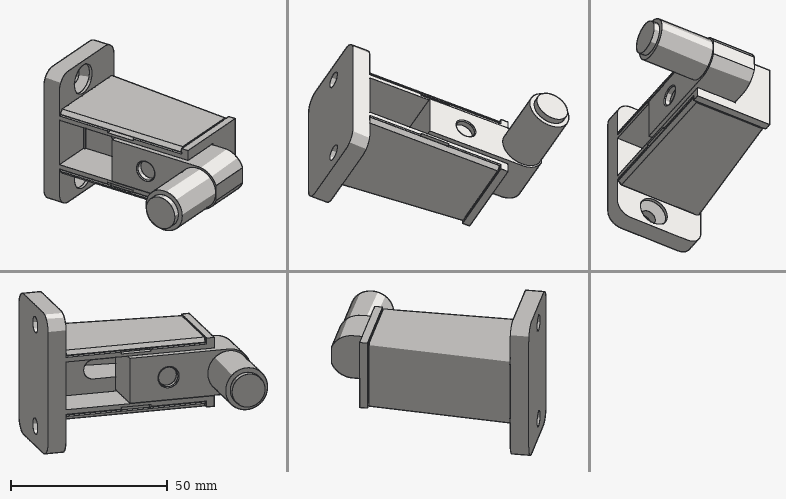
import cadquery as cq
import math


overall_length = 67.0

base_length = 6.0
base_depth = 31.0
base_height = 47.0
base_corner_radius = 5.0
screw_hole_diameter = 5.2
screw_head_diameter = 10.0
seat_start = 2.6
screw_hole_pitch = 33.9
screw_hole_y = 13.55

taper_angle = math.radians(5)
flange_end = 55.55
flange_thickness = 2.55
flange_depth = 26.8
flange_half_height = 11.5
cover_thickness = 0.5
core_half_height = flange_half_height - cover_thickness
core_depth_at_base = 30.0
core_chamfer = 1.51
flange_start = flange_end - flange_thickness

cover_start_gap = 0.2
cover_end_gap = 0.4
cover_start = base_length + cover_start_gap
cover_back_radius = 1.51
cover_end = flange_start - cover_end_gap

notch_start = 24.45
notch_end = 34.45
notch_floor_height = 8.9
notch_depth = 2.0

pocket_half_height = 8.0
ledge_size = 0.6
slot_radius = 3.2
slot_left_center = 19.55

arm_start = 27.0
arm_front = -1.0
arm_back = 14.15
arm_half_height = 7.5
plug_x = 39.9
plug_radius = slot_radius
plug_hole_chamfer = 0.35
plug_recess = 2.0

roller_diameter = 14.0
roller_radius = roller_diameter / 2
roller_end = -20.2
roller_gap = 0.2
axle_radius = 5.5
axle_end = -22.2
roller_x = overall_length - roller_radius

SLOPING_EDGES = "not (|X or |Y or |Z)"


def block(x_range, y_range, half_height):
    """Box centred on Z = 0."""
    return (
        cq.Workplane("XY")
        .box(x_range[1] - x_range[0], y_range[1] - y_range[0], 2 * half_height, centered=(False, False, True))
        .translate((x_range[0], y_range[0], 0))
    )


def cylinder_along_y(x, radius, y_start, y_end):
    """Cylinder at mid-height whose axis is parallel to Y."""
    return (
        cq.Workplane("XZ", origin=(x, y_start, 0))
        .circle(radius)
        .extrude(y_start - y_end)
    )


def tapered_block(x_start, x_end, growth):
    """Block with a sloping back, grown outward on all long faces from the size of the core."""

    def back_y(x):
        return core_depth_at_base + growth / math.cos(taper_angle) - (x - base_length) * math.tan(taper_angle)

    half_height = core_half_height + growth
    return (
        cq.Workplane("XY", origin=(0, 0, -half_height))
        .moveTo(x_start, -growth)
        .lineTo(x_end, -growth)
        .lineTo(x_end, back_y(x_end))
        .lineTo(x_start, back_y(x_start))
        .close()
        .extrude(2 * half_height)
    )


def make_core():
    core = tapered_block(base_length, flange_start, 0)
    return core.edges(SLOPING_EDGES).chamfer(core_chamfer).faces("<Y").edges("|X").chamfer(core_chamfer)


def make_cover_envelope():
    front_chamfer = core_chamfer + cover_thickness * (2 - math.sqrt(2))
    envelope = tapered_block(cover_start, cover_end, cover_thickness)
    return envelope.edges(SLOPING_EDGES).fillet(cover_back_radius).faces("<Y").edges("|X").chamfer(front_chamfer)


def make_edge_trim():
    """Wedge whose 45 degree sides cut the two front edges of the cover square, ending at Y = 0."""
    edge_half_height = core_half_height - core_chamfer + cover_thickness * math.sqrt(2)
    overrun = 2 * cover_thickness
    return (
        cq.Workplane("YZ", origin=(cover_start, 0, 0))
        .moveTo(edge_half_height, 0)
        .lineTo(-overrun, edge_half_height + overrun)
        .lineTo(-overrun, -edge_half_height - overrun)
        .close()
        .extrude(cover_end - cover_start)
    )


def make_cover():
    return make_cover_envelope().cut(make_core()).cut(make_edge_trim())


def make_screw_hole(z):
    """Stepped hole through the base plate: bore, 45 degree seat and head recess on the housing side."""
    head_radius = screw_head_diameter / 2
    bore_radius = screw_hole_diameter / 2
    seat_end = seat_start + head_radius - bore_radius
    return (
        cq.Workplane("XY")
        .lineTo(0, bore_radius)
        .lineTo(seat_start, bore_radius)
        .lineTo(seat_end, head_radius)
        .lineTo(base_length, head_radius)
        .lineTo(base_length, 0)
        .close()
        .revolve(360, (0, 0, 0), (1, 0, 0))
        .translate((0, screw_hole_y, z))
    )


def make_base():
    base = block((0, base_length), (0, base_depth), base_height / 2)
    base = base.edges("|X").fillet(base_corner_radius)
    for z in (-screw_hole_pitch / 2, screw_hole_pitch / 2):
        base = base.cut(make_screw_hole(z))
    return base


def make_notches():
    """Shallow notches in the front corners of the core, under the front edges of the cover."""
    notches = block((notch_start, notch_end), (0, notch_depth), core_half_height)
    return notches.cut(block((notch_start, notch_end), (0, notch_depth), notch_floor_height))


def make_slot():
    """Round-ended slot from the pocket through the sloping back of the housing."""
    slot = block((slot_left_center, plug_x), (arm_back, base_depth), slot_radius)
    for x in (slot_left_center, plug_x):
        slot = slot.union(cylinder_along_y(x, slot_radius, base_depth, arm_back))
    return slot


def make_housing():
    housing = make_base().union(make_core())
    housing = housing.union(block((flange_start, flange_end), (0, flange_depth), flange_half_height))
    housing = housing.cut(block((base_length, flange_end), (0, arm_back), pocket_half_height))
    ledge = block(
        (base_length, base_length + ledge_size),
        (arm_back - ledge_size, arm_back),
        pocket_half_height,
    )
    return housing.union(ledge).cut(make_slot()).cut(make_notches())


def make_arm():
    bar = block((arm_start, roller_x), (arm_front, arm_back), arm_half_height)
    bar = bar.union(cylinder_along_y(roller_x, arm_half_height, arm_back, arm_front))
    bar = bar.intersect(block((arm_start, overall_length), (arm_front, arm_back), arm_half_height))
    bar = bar.cut(cylinder_along_y(plug_x, plug_radius, arm_back, arm_front))
    return bar.faces("<Y").edges("%CIRCLE").edges("<X").chamfer(plug_hole_chamfer)


def make_plug():
    return cylinder_along_y(plug_x, plug_radius, arm_back, arm_front + plug_recess)


def make_roller():
    roller = cylinder_along_y(roller_x, roller_radius, arm_front - roller_gap, roller_end)
    return roller.cut(make_axle())


def make_axle():
    return cylinder_along_y(roller_x, axle_radius, arm_front, axle_end)


housing = make_housing()
cover = make_cover()
arm = make_arm()
plug = make_plug()
roller = make_roller()
axle = make_axle()

result = cq.Compound.makeCompound(
    [housing.val(), cover.val(), arm.val(), plug.val(), roller.val(), axle.val()]
)